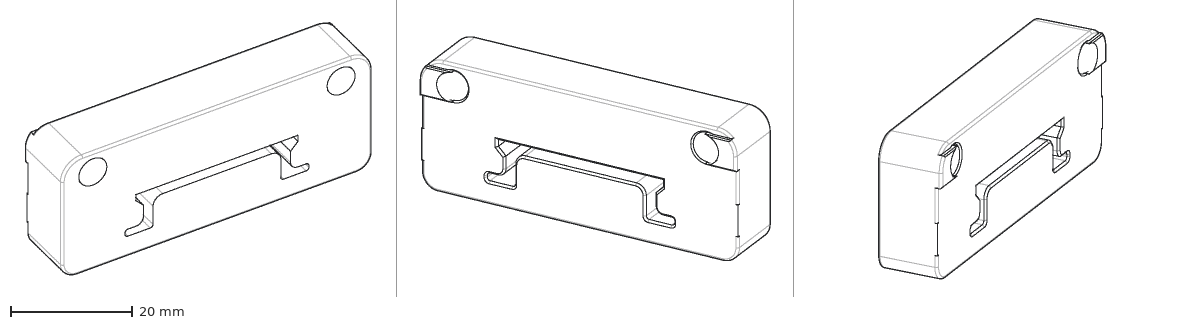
import cadquery as cq

TOTAL_DEPTH = 11.8
WIDTH = 60.0
HEIGHT = 24.0
TOP_CORNER_RADIUS = 4.0
BOTTOM_CORNER_RADIUS = 3.0
EDGE_FILLET = 0.45

PAD_HEIGHT = 0.8
PAD_EDGE_CHAMFER = 0.25
FRONT_X = PAD_HEIGHT

HOLE_DIAMETER = 5.4
HOLE_RIM_DIAMETER = 6.0
HOLE_RIM_DEPTH = (HOLE_RIM_DIAMETER - HOLE_DIAMETER) / 2
HOLE_Y = 24.0
HOLE_Z = HEIGHT - TOP_CORNER_RADIUS
PAD_WIDTH = 5.5

SHARP_EDGE_BOTTOM = 5.1
SHARP_EDGE_TOP = 10.9

SLOT_TOP_Z = 12.05
SLOT_TOP_HALF_WIDTH = 15.65
SLOT_NECK_HALF_WIDTH = 14.2
SLOT_SHOULDER_Z = 10.8
SLOT_NECK_Z = SLOT_SHOULDER_Z - (SLOT_TOP_HALF_WIDTH - SLOT_NECK_HALF_WIDTH)
HOOK_HALF_WIDTH = 17.75
HOOK_TOP_Z = 5.6
HOOK_BOTTOM_Z = 4.15
HOOK_CORNER_RADIUS = 0.55
NECK_CORNER_RADIUS = 1.45
TONGUE_HALF_WIDTH = 12.35
TONGUE_TOP_Z = 10.25
TONGUE_CORNER_RADIUS = 1.85
SLOT_RIM_CHAMFER = 0.39


def plate(x_start, x_end):
    """Plate with rounded corners and sharp front and back edges."""
    block = cq.Workplane("XY").box(x_end - x_start, WIDTH, HEIGHT, centered=(False, True, False))
    block = block.edges("|X and >Z").fillet(TOP_CORNER_RADIUS)
    block = block.edges("|X and <Z").fillet(BOTTOM_CORNER_RADIUS)
    return block.translate((x_start, 0, 0))


def band(x_end, z_bottom, z_top):
    """Full-width slab from X = 0 to x_end between two levels."""
    slab = cq.Workplane("XY").box(x_end, WIDTH, z_top - z_bottom, centered=(False, True, False))
    return slab.translate((0, 0, z_bottom))


def body():
    """Main plate with rounded edges, sharp again on a short stretch of both sides."""
    rounded = plate(FRONT_X, TOTAL_DEPTH).faces("<X or >X").edges().fillet(EDGE_FILLET)
    sharp = plate(FRONT_X, FRONT_X + 2 * EDGE_FILLET)
    return rounded.union(sharp.intersect(band(TOTAL_DEPTH, SHARP_EDGE_BOTTOM, SHARP_EDGE_TOP)))


def pads():
    """Pads from the screw holes out to the sides, following the plate outline."""
    depth = PAD_HEIGHT + 2 * EDGE_FILLET
    strip = band(depth, HOLE_Z - PAD_WIDTH / 2, HOLE_Z + PAD_WIDTH / 2)
    strip = strip.faces("<X").edges("|Y").chamfer(PAD_EDGE_CHAMFER)
    middle = cq.Workplane("XY").box(2 * depth, 2 * HOLE_Y, 2 * HEIGHT)
    return plate(0, depth).faces("<X").edges().fillet(EDGE_FILLET).intersect(strip).cut(middle)


def screw_hole(y):
    """Straight bore through pad and plate."""
    centre = cq.Workplane("YZ").center(y, HOLE_Z)
    return centre.circle(HOLE_DIAMETER / 2).extrude(TOTAL_DEPTH)


def screw_hole_rim(y):
    """Cone that widens the bore at the front face of the plate."""
    rim = cq.Workplane("YZ", origin=(FRONT_X, y, HOLE_Z)).circle(HOLE_RIM_DIAMETER / 2)
    return rim.workplane(offset=HOLE_RIM_DEPTH).circle(HOLE_DIAMETER / 2).loft()


def slot():
    """Wide slot under which a tongue rises, with a hook-shaped end on each side."""
    top = (SLOT_TOP_HALF_WIDTH, SLOT_TOP_Z)
    shoulder = (SLOT_TOP_HALF_WIDTH, SLOT_SHOULDER_Z)
    neck = (SLOT_NECK_HALF_WIDTH, SLOT_NECK_Z)
    neck_foot = (SLOT_NECK_HALF_WIDTH, HOOK_TOP_Z)
    hook_top = (HOOK_HALF_WIDTH, HOOK_TOP_Z)
    hook_bottom = (HOOK_HALF_WIDTH, HOOK_BOTTOM_Z)
    tongue_foot = (TONGUE_HALF_WIDTH, HOOK_BOTTOM_Z)
    tongue_top = (TONGUE_HALF_WIDTH, TONGUE_TOP_Z)

    half = [top, shoulder, neck, neck_foot, hook_top, hook_bottom, tongue_foot, tongue_top]
    mirrored_half = [(-y, z) for y, z in reversed(half)]
    opening = cq.Workplane("YZ", origin=(FRONT_X, 0, 0)).polyline(half + mirrored_half).close()
    opening = opening.extrude(TOTAL_DEPTH - FRONT_X)

    corner_radii = {
        neck_foot: NECK_CORNER_RADIUS,
        hook_top: HOOK_CORNER_RADIUS,
        hook_bottom: HOOK_CORNER_RADIUS,
        tongue_foot: HOOK_CORNER_RADIUS,
        tongue_top: TONGUE_CORNER_RADIUS,
    }
    middle_x = (FRONT_X + TOTAL_DEPTH) / 2
    for (y, z), radius in corner_radii.items():
        for side in (-1, 1):
            corner = cq.selectors.NearestToPointSelector((middle_x, side * y, z))
            opening = opening.edges(corner).fillet(radius)
    return opening


def chamfer_slot_rim(solid):
    """Chamfer the edge of the slot on the front face, the only inner loop of that face."""
    rim = solid.faces("<X").val().innerWires()[0]
    return solid.newObject(rim.Edges()).chamfer(SLOT_RIM_CHAMFER)


result = chamfer_slot_rim(body().cut(slot()))
for hole_y in (-HOLE_Y, HOLE_Y):
    result = result.cut(screw_hole_rim(hole_y))
result = result.union(pads())
for hole_y in (-HOLE_Y, HOLE_Y):
    result = result.cut(screw_hole(hole_y))